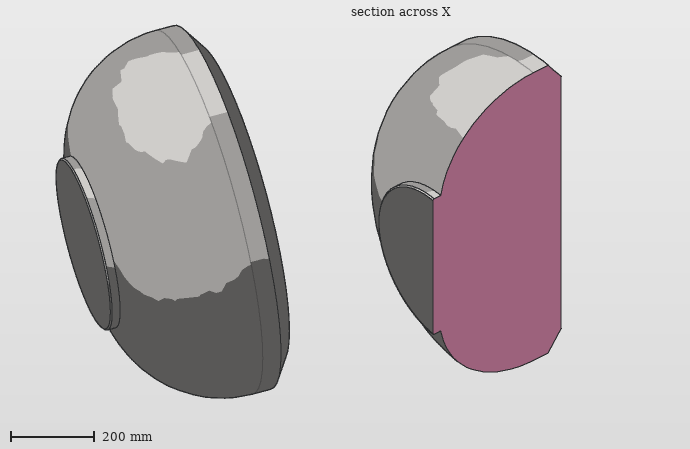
import cadquery as cq
import math

outer_radius = 450.0
total_depth = 390.0
pad_radius = 212.0
pad_chamfer = 4.0
bowl_radius = 284.0
band_width = 46.0
rim_chamfer_depth = 40.0
rim_chamfer_inset = 56.0

front_y = -total_depth / 2
back_y = total_depth / 2
band_back_y = back_y - rim_chamfer_depth
band_front_y = band_back_y - band_width

arc_center_radius = outer_radius - bowl_radius
arc_end_y = band_front_y - math.sqrt(bowl_radius**2 - (pad_radius - arc_center_radius) ** 2)
arc_mid_offset = bowl_radius * math.cos(math.radians(45))
arc_mid_radius = arc_center_radius + arc_mid_offset
arc_mid_y = band_front_y - arc_mid_offset
pad_height = arc_end_y - front_y

bowl = (
    cq.Workplane("XY")
    .moveTo(0, arc_end_y)
    .lineTo(pad_radius, arc_end_y)
    .threePointArc((arc_mid_radius, arc_mid_y), (outer_radius, band_front_y))
    .lineTo(outer_radius, band_back_y)
    .lineTo(outer_radius - rim_chamfer_inset, back_y)
    .lineTo(0, back_y)
    .close()
    .revolve(360, (0, 0, 0), (0, 1, 0))
)

pad = (
    cq.Workplane("XZ", origin=(0, front_y, 0))
    .circle(pad_radius)
    .extrude(-pad_height)
    .faces("<Y")
    .chamfer(pad_chamfer)
)

result = bowl.union(pad)